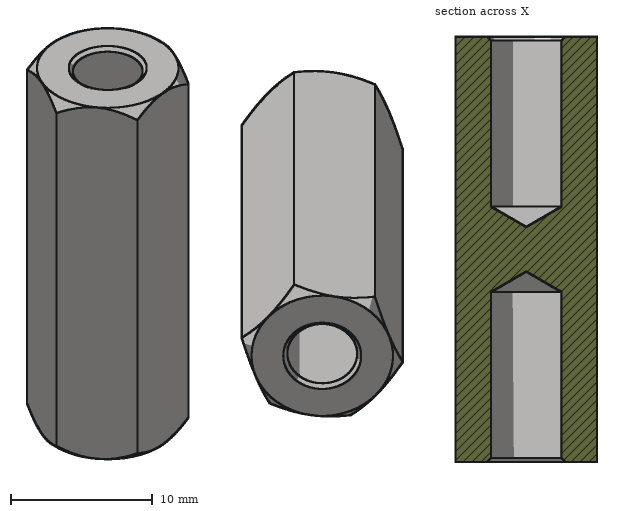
import cadquery as cq
import math

length = 30.0
across_flats = 10.0
across_corners = across_flats / math.cos(math.radians(30))

end_face_diameter = 9.98
corner_chamfer = (across_corners - end_face_diameter) / 2

bore_diameter = 4.92
bore_depth = 12.0
countersink_diameter = 5.5
countersink_depth = (countersink_diameter - bore_diameter) / 2
drill_tip_angle = 120.0
drill_tip_depth = bore_diameter / 2 / math.tan(math.radians(drill_tip_angle / 2))

end_z = length / 2


def make_hexagon_bar():
    """Hexagonal bar with corners on the X axis and its corners chamfered at both ends."""
    bar = cq.Workplane("XY").polygon(6, across_corners).extrude(end_z, both=True)
    turned_envelope = (
        cq.Workplane("XY")
        .circle(across_corners / 2)
        .extrude(end_z, both=True)
        .edges("%CIRCLE")
        .chamfer(corner_chamfer)
    )
    return bar.intersect(turned_envelope)


def make_upper_bore():
    """Solid of revolution that cuts the countersunk blind bore in the upper end."""
    bore_radius = bore_diameter / 2
    bore_bottom_z = end_z - bore_depth
    return (
        cq.Workplane("XZ")
        .moveTo(0, end_z)
        .lineTo(countersink_diameter / 2, end_z)
        .lineTo(bore_radius, end_z - countersink_depth)
        .lineTo(bore_radius, bore_bottom_z)
        .lineTo(0, bore_bottom_z - drill_tip_depth)
        .close()
        .revolve(360, (0, 0, 0), (0, 1, 0))
    )


upper_bore = make_upper_bore()
lower_bore = upper_bore.mirror("XY")

result = make_hexagon_bar().cut(upper_bore).cut(lower_bore)